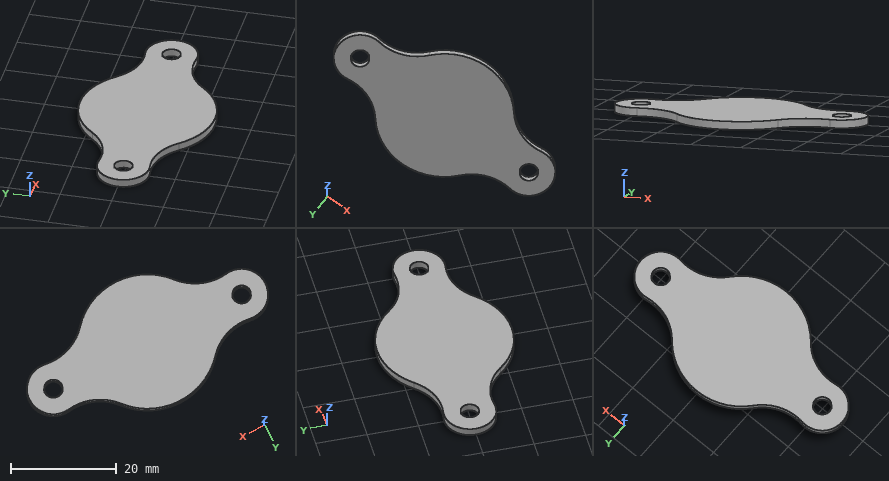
import cadquery as cq
import math

length = 50.0
thickness = 1.6
disc_radius = 13.1
ear_radius = 5.0
hole_diameter = 3.5
neck_radius = 10.0

ear_x = length / 2 - ear_radius

disc_to_neck = disc_radius + neck_radius
ear_to_neck = ear_radius + neck_radius
neck_x = (ear_x**2 + disc_to_neck**2 - ear_to_neck**2) / (2 * ear_x)
neck_y = math.sqrt(disc_to_neck**2 - neck_x**2)

disc_tangent_x = neck_x * disc_radius / disc_to_neck
disc_tangent_y = neck_y * disc_radius / disc_to_neck
ear_tangent_x = ear_x + (neck_x - ear_x) * ear_radius / ear_to_neck
ear_tangent_y = neck_y * ear_radius / ear_to_neck

chord_dx = (disc_tangent_x + ear_tangent_x) / 2 - neck_x
chord_dy = (disc_tangent_y + ear_tangent_y) / 2 - neck_y
chord_distance = math.hypot(chord_dx, chord_dy)
neck_mid_x = neck_x + chord_dx * neck_radius / chord_distance
neck_mid_y = neck_y + chord_dy * neck_radius / chord_distance


def make_plate():
    """Flat plate: a central disc blended into an ear at each end."""
    return (
        cq.Workplane("XY")
        .moveTo(-disc_tangent_x, disc_tangent_y)
        .threePointArc((0, disc_radius), (disc_tangent_x, disc_tangent_y))
        .threePointArc((neck_mid_x, neck_mid_y), (ear_tangent_x, ear_tangent_y))
        .threePointArc((length / 2, 0), (ear_tangent_x, -ear_tangent_y))
        .threePointArc((neck_mid_x, -neck_mid_y), (disc_tangent_x, -disc_tangent_y))
        .threePointArc((0, -disc_radius), (-disc_tangent_x, -disc_tangent_y))
        .threePointArc((-neck_mid_x, -neck_mid_y), (-ear_tangent_x, -ear_tangent_y))
        .threePointArc((-length / 2, 0), (-ear_tangent_x, ear_tangent_y))
        .threePointArc((-neck_mid_x, neck_mid_y), (-disc_tangent_x, disc_tangent_y))
        .close()
        .extrude(thickness)
    )


def drill_ears(plate):
    """Cut a through hole at the centre of each ear."""
    return (
        plate.faces(">Z")
        .workplane(origin=(0, 0, thickness))
        .pushPoints([(-ear_x, 0), (ear_x, 0)])
        .hole(hole_diameter)
    )


result = drill_ears(make_plate())